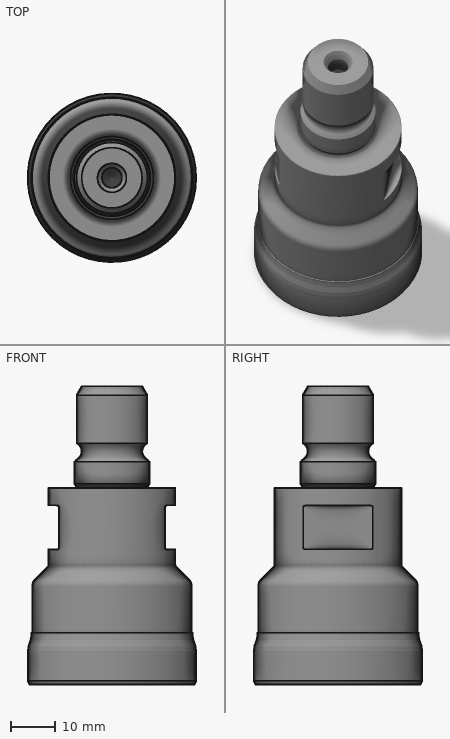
import cadquery as cq
import math

HEIGHT = 67.45

CONE_HALF_ANGLE = 30
DRILL_HALF_ANGLE = 59
SHOULDER_ANGLE = 45

COLLAR_R = 38.1 / 2
BASE_BEVEL = 0.4
BASE_BEVEL_HEIGHT = 0.8
COLLAR_TOP = 7.55
COLLAR_EDGE_Z = 8.0
COLLAR_EDGE_STEP = 0.1
COLLAR_BEVEL_TOP = 8.6
COLLAR_BEVEL = 0.15
CONE_TOP = 10.1
CONE_TOP_R = 18.4
LIP_R = 18.2
LIP_CONE_TOP = 11.2
LIP_TOP = 11.75

BODY_R = 36.1 / 2
SHOULDER_ROUND = 2.0
SHOULDER_FILLET = 0.7
NECK_R = 28.7 / 2
NECK_BOTTOM = 26.8
NECK_TOP = 44.5
NECK_CHAMFER = 0.15

FLAT_DISTANCE = 12.0
FLAT_BOTTOM = 30.55
FLAT_TOP = 40.5
FLAT_FILLET = 0.4

UNDERCUT_R = 9.4
UNDERCUT_WIDTH = 0.7
UNDERCUT_DEPTH = 0.3

PILOT_R = 17.0 / 2
PILOT_BOTTOM = 45.4
PILOT_TOP = 50.3
THREAD_R = 16.0 / 2
THREAD_BOTTOM = 54.6
GROOVE_R = 6.9
GROOVE_CHAMFER = 0.6
TIP_CHAMFER_R = 2.35 / 2
TIP_CHAMFER_HEIGHT = TIP_CHAMFER_R / math.tan(math.radians(CONE_HALF_ANGLE))

HOLE_R = 4.5 / 2
COUNTERSINK_R = 6.55 / 2
COUNTERSINK_DEPTH = (COUNTERSINK_R - HOLE_R) / math.tan(math.radians(CONE_HALF_ANGLE))
HOLE_DEPTH = 5.4
DRILL_POINT_DEPTH = HOLE_R / math.tan(math.radians(DRILL_HALF_ANGLE))


def turned_body():
    """Solid of revolution, from the base up to the stud tip."""
    slope = math.radians(SHOULDER_ANGLE)
    lower_tangent = SHOULDER_ROUND * math.tan(slope / 2)
    upper_tangent = SHOULDER_FILLET * math.tan(slope / 2)
    corner_z = NECK_BOTTOM - (BODY_R - NECK_R)
    diagonal = math.cos(slope)
    lower_mid = (
        BODY_R - SHOULDER_ROUND * (1 - math.cos(slope / 2)),
        corner_z - lower_tangent + SHOULDER_ROUND * math.sin(slope / 2),
    )
    lower_end = (BODY_R - lower_tangent * diagonal, corner_z + lower_tangent * diagonal)
    upper_mid = (
        NECK_R + SHOULDER_FILLET * (1 - math.cos(slope / 2)),
        NECK_BOTTOM + upper_tangent - SHOULDER_FILLET * math.sin(slope / 2),
    )
    groove_bottom = PILOT_TOP + GROOVE_CHAMFER
    undercut_floor = NECK_TOP - UNDERCUT_DEPTH

    profile = (
        cq.Workplane("XZ")
        .lineTo(COLLAR_R - BASE_BEVEL, 0)
        .lineTo(COLLAR_R, BASE_BEVEL_HEIGHT)
        .lineTo(COLLAR_R, COLLAR_TOP)
        .lineTo(COLLAR_R - COLLAR_EDGE_STEP, COLLAR_EDGE_Z)
        .lineTo(COLLAR_R - COLLAR_BEVEL, COLLAR_BEVEL_TOP)
        .lineTo(CONE_TOP_R, CONE_TOP)
        .lineTo(LIP_R, LIP_CONE_TOP)
        .lineTo(LIP_R, LIP_TOP)
        .lineTo(BODY_R, LIP_TOP)
        .lineTo(BODY_R, corner_z - lower_tangent)
        .threePointArc(lower_mid, lower_end)
        .lineTo(NECK_R + upper_tangent * diagonal, NECK_BOTTOM - upper_tangent * diagonal)
        .threePointArc(upper_mid, (NECK_R, NECK_BOTTOM + upper_tangent))
        .lineTo(NECK_R, NECK_TOP - NECK_CHAMFER)
        .lineTo(NECK_R - NECK_CHAMFER, NECK_TOP)
        .lineTo(UNDERCUT_R, NECK_TOP)
        .lineTo(UNDERCUT_R - UNDERCUT_WIDTH, undercut_floor)
        .lineTo(THREAD_R, undercut_floor)
        .lineTo(THREAD_R, NECK_TOP)
        .lineTo(PILOT_R, PILOT_BOTTOM)
        .lineTo(PILOT_R, PILOT_TOP)
        .lineTo(PILOT_R - GROOVE_CHAMFER, groove_bottom)
        .threePointArc((GROOVE_R, (groove_bottom + THREAD_BOTTOM) / 2), (THREAD_R, THREAD_BOTTOM))
        .lineTo(THREAD_R, HEIGHT - TIP_CHAMFER_HEIGHT)
        .lineTo(THREAD_R - TIP_CHAMFER_R, HEIGHT)
        .lineTo(0, HEIGHT)
        .close()
    )
    return profile.revolve(360, (0, 0, 0), (0, 1, 0))


def flat_cutter(side):
    """Block that cuts one wrench flat; side is -1 or +1 along X."""
    length = 2 * (NECK_R - FLAT_DISTANCE)
    return (
        cq.Workplane("XY")
        .box(length, 2 * NECK_R, FLAT_TOP - FLAT_BOTTOM)
        .faces("<X" if side > 0 else ">X")
        .edges("|Y")
        .fillet(FLAT_FILLET)
        .translate((side * (FLAT_DISTANCE + length / 2), 0, (FLAT_BOTTOM + FLAT_TOP) / 2))
    )


def center_hole():
    """Countersunk blind hole with a drill point."""
    return (
        cq.Workplane("XZ", origin=(0, 0, HEIGHT))
        .lineTo(COUNTERSINK_R, 0)
        .lineTo(HOLE_R, -COUNTERSINK_DEPTH)
        .lineTo(HOLE_R, -HOLE_DEPTH)
        .lineTo(0, -HOLE_DEPTH - DRILL_POINT_DEPTH)
        .close()
        .revolve(360, (0, 0, 0), (0, 1, 0))
    )


result = turned_body().cut(center_hole())
for side in (-1, 1):
    result = result.cut(flat_cutter(side))